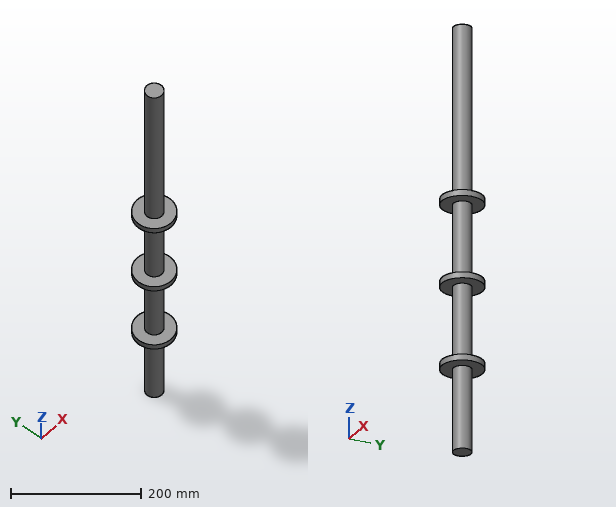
import cadquery as cq

rod_length = 720.0
rod_diameter = 30.0
disc_diameter = 70.0
disc_thickness = 10.0

disc_count = 3
lowest_disc_height = 140.5
disc_pitch = 140.0
rod_bottom = -rod_length / 2


def make_rod():
    """Plain round rod standing along Z."""
    return cq.Workplane("XY").workplane(offset=rod_bottom).circle(rod_diameter / 2).extrude(rod_length)


def make_disc(underside):
    """Flat disc with a bore that fits the rod, resting at the given height."""
    return (
        cq.Workplane("XY")
        .workplane(offset=underside)
        .circle(disc_diameter / 2)
        .circle(rod_diameter / 2)
        .extrude(disc_thickness)
    )


rod = make_rod()

discs = []
for index in range(disc_count):
    underside = rod_bottom + lowest_disc_height + index * disc_pitch
    discs.append(make_disc(underside).val())

result = cq.Compound.makeCompound([rod.val(), *discs])